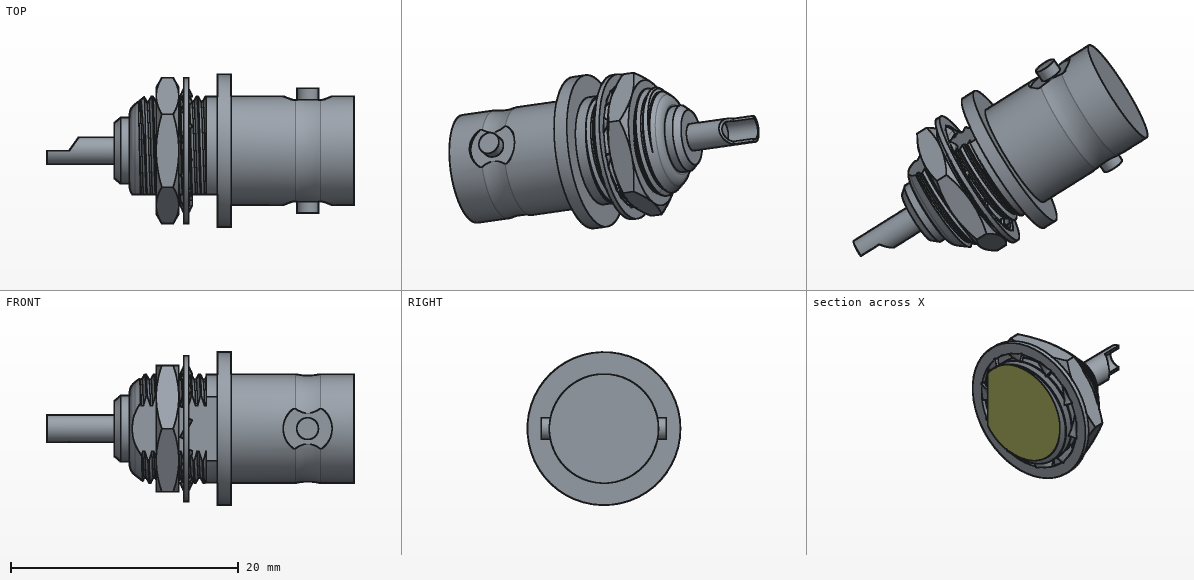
import cadquery as cq
import math


CUP_DIAMETER = 2.4
CUP_BORE_DIAMETER = 1.89
CUP_FLOOR_LENGTH = 1.95
CUP_OPEN_LENGTH = 2.8

COLLAR_START = 5.9
SHANK_START = 7.25
THREAD_END = 14.0
FLANGE_START = 14.98
BARREL_START = 16.2
BODY_END = 27.0

COLLAR_RADIUS = 5.86 / 2
COLLAR_CHAMFER_LENGTH = 0.6
COLLAR_CHAMFER_DEPTH = 0.5
NOSE_FACE_RADIUS = 3.12
NOSE_ARC_LENGTH = 0.45
NOSE_ARC_END_RADIUS = 4.06
NOSE_CONE_LENGTH = 0.95

THREAD_RADIUS = 9.6 / 2
THREAD_PITCH = 25.4 / 32
THREAD_DEPTH = 0.45
THREAD_HALF_ANGLE = math.radians(30)
CREST_FLAT = THREAD_PITCH / 8
GROOVE_OVERLAP = 0.05
GROOVE_STATION = 12.62
GROOVE_TURNS_BEFORE = 6
GROOVE_TURNS_AFTER = 3
SEAM_ANGLE = 37
NECK_RADIUS = 9.55 / 2
FLAT_OFFSET = 3.86

FLANGE_RADIUS = 13.48 / 2
BARREL_RADIUS = 9.6 / 2
BAYONET_STATION = 22.92
GROOVE_WIDTH = 2.18
GROOVE_DEPTH = 0.13
SPOTFACE_DIAMETER = 4.3
SPOTFACE_OFFSET = 4.47
PIN_DIAMETER = 1.91
PIN_TIP_OFFSET = 5.5

NUT_START = 9.6
NUT_WIDTH = 2.0
NUT_CORNER_DIAMETER = 12.84
NUT_ACROSS_FLATS = NUT_CORNER_DIAMETER * math.cos(math.radians(30))
NUT_CHAMFER_ANGLE = math.radians(30)

WASHER_START = 12.02
WASHER_THICKNESS = 0.45
WASHER_RADIUS = 12.84 / 2
RING_INNER_RADIUS = 5.4
TOOTH_COUNT = 10
TOOTH_WIDTH = 1.81
TOOTH_ROOT_THICKNESS = 0.4
TOOTH_THICKNESS = 0.25
TOOTH_TWIST = 28
TOOTH_TIP_RADIUS = 4.34
TOOTH_TWISTED_RADIUS = 4.8
TOOTH_ROOT_OVERLAP = 0.1


def x_cylinder(radius, start, end):
    return cq.Workplane("YZ", origin=(start, 0, 0)).circle(radius).extrude(end - start)


def revolve_about_x(profile):
    return profile.close().revolve(360, (0, 0, 0), (1, 0, 0))


def groove_turn():
    """One right-hand turn of the V groove, swept along a helix and then laid along X."""
    half_angle_tan = math.tan(THREAD_HALF_ANGLE)
    half_mouth = (THREAD_PITCH - CREST_FLAT) / 2
    half_outer = half_mouth + GROOVE_OVERLAP * half_angle_tan
    half_root = half_mouth - THREAD_DEPTH * half_angle_tan
    outer = THREAD_RADIUS + GROOVE_OVERLAP
    root = THREAD_RADIUS - THREAD_DEPTH
    helix = cq.Workplane(cq.Wire.makeHelix(THREAD_PITCH, THREAD_PITCH, THREAD_RADIUS))
    section = [(outer, -half_outer), (outer, half_outer), (root, half_root), (root, -half_root)]
    turn = cq.Workplane("XZ").polyline(section).close().sweep(helix, isFrenet=True)
    return turn.rotate((0, 0, 0), (0, 1, 0), 90)


def cut_thread(shank):
    """Thread the shank turn by turn, from its nose to its far end."""
    turn = groove_turn()
    for index in range(-GROOVE_TURNS_BEFORE, GROOVE_TURNS_AFTER):
        shank = shank.cut(turn.translate((GROOVE_STATION + index * THREAD_PITCH, 0, 0)))
    return shank


def flat_cutter():
    """Block that removes everything beyond the flat, from the nose to the flange."""
    length = FLANGE_START - SHANK_START
    block = cq.Workplane("XY").box(length, FLANGE_RADIUS, 2 * FLANGE_RADIUS, centered=(False, False, True))
    return block.translate((SHANK_START, -FLAT_OFFSET - FLANGE_RADIUS, 0))


def make_shank():
    """Round-nosed shank, before it is threaded and before its flat is cut."""
    arc_end = SHANK_START + NOSE_ARC_LENGTH
    profile = (
        cq.Workplane("XY")
        .moveTo(SHANK_START, 0)
        .lineTo(SHANK_START, NOSE_FACE_RADIUS)
        .tangentArcPoint((arc_end, NOSE_ARC_END_RADIUS), relative=False)
        .lineTo(arc_end + NOSE_CONE_LENGTH, THREAD_RADIUS)
        .lineTo(THREAD_END, THREAD_RADIUS)
        .lineTo(THREAD_END, 0)
    )
    return revolve_about_x(profile).rotate((0, 0, 0), (1, 0, 0), SEAM_ANGLE)


def make_collar_and_cup():
    chamfer_end = COLLAR_START + COLLAR_CHAMFER_LENGTH
    profile = (
        cq.Workplane("XY")
        .moveTo(COLLAR_START, 0)
        .lineTo(COLLAR_START, COLLAR_RADIUS - COLLAR_CHAMFER_DEPTH)
        .lineTo(chamfer_end, COLLAR_RADIUS)
        .lineTo(SHANK_START, COLLAR_RADIUS)
        .lineTo(SHANK_START, 0)
    )
    cup_radius = CUP_DIAMETER / 2
    cup = x_cylinder(cup_radius, 0, COLLAR_START)
    bore = x_cylinder(CUP_BORE_DIAMETER / 2, 0, CUP_OPEN_LENGTH)
    side_opening = (
        cq.Workplane("XY")
        .moveTo(0, 0)
        .lineTo(CUP_FLOOR_LENGTH, 0)
        .lineTo(CUP_OPEN_LENGTH, cup_radius)
        .lineTo(0, cup_radius)
        .close()
        .extrude(cup_radius, both=True)
    )
    return revolve_about_x(profile).union(cup.cut(bore).cut(side_opening))


def make_flange_and_barrel():
    """Neck, flange and barrel, with the shallow ring groove at the bayonet pins."""
    profile = (
        cq.Workplane("XY")
        .moveTo(THREAD_END, 0)
        .lineTo(THREAD_END, NECK_RADIUS)
        .lineTo(FLANGE_START, NECK_RADIUS)
        .lineTo(FLANGE_START, FLANGE_RADIUS)
        .lineTo(BARREL_START, FLANGE_RADIUS)
        .lineTo(BARREL_START, BARREL_RADIUS)
        .lineTo(BAYONET_STATION - GROOVE_WIDTH / 2, BARREL_RADIUS)
        .threePointArc(
            (BAYONET_STATION, BARREL_RADIUS - GROOVE_DEPTH),
            (BAYONET_STATION + GROOVE_WIDTH / 2, BARREL_RADIUS),
        )
        .lineTo(BODY_END, BARREL_RADIUS)
        .lineTo(BODY_END, 0)
    )
    barrel = revolve_about_x(profile)
    for side in (-1, 1):
        seat = cq.Workplane("XZ", origin=(BAYONET_STATION, side * SPOTFACE_OFFSET, 0))
        spotface = seat.circle(SPOTFACE_DIAMETER / 2).extrude(-side * BARREL_RADIUS)
        barrel = barrel.cut(spotface)
    pins = (
        cq.Workplane("XZ", origin=(BAYONET_STATION, 0, 0))
        .circle(PIN_DIAMETER / 2)
        .extrude(PIN_TIP_OFFSET, both=True)
    )
    return barrel.union(pins)


def make_body(threaded_shank):
    """One-piece connector body; the flat runs from the nose up to the flange."""
    flat = flat_cutter()
    barrel = make_flange_and_barrel().cut(flat)
    return threaded_shank.cut(flat).union(barrel).union(make_collar_and_cup())


def make_nut(threaded_shank):
    """Hexagon nut, its corners chamfered on both faces, threaded to fill the grooves of the shank."""
    hexagon = (
        cq.Workplane("YZ", origin=(NUT_START, 0, 0))
        .polygon(6, NUT_CORNER_DIAMETER)
        .extrude(NUT_WIDTH)
    )
    corner_radius = NUT_CORNER_DIAMETER / 2
    face_radius = NUT_ACROSS_FLATS / 2
    chamfer_length = (corner_radius - face_radius) * math.tan(NUT_CHAMFER_ANGLE)
    nut_end = NUT_START + NUT_WIDTH
    envelope = (
        cq.Workplane("XY")
        .moveTo(NUT_START, 0)
        .lineTo(NUT_START, face_radius)
        .lineTo(NUT_START + chamfer_length, corner_radius)
        .lineTo(nut_end - chamfer_length, corner_radius)
        .lineTo(nut_end, face_radius)
        .lineTo(nut_end, 0)
    )
    return hexagon.intersect(revolve_about_x(envelope)).cut(threaded_shank)


def washer_tooth():
    """Tooth on the -Y side: it twists on its way in, then runs straight to its tip."""
    centre = WASHER_START + WASHER_THICKNESS / 2
    root_radius = RING_INNER_RADIUS + TOOTH_ROOT_OVERLAP
    twist_length = root_radius - TOOTH_TWISTED_RADIUS
    twisted = (
        cq.Workplane("XZ", origin=(centre, -root_radius, 0))
        .rect(TOOTH_ROOT_THICKNESS, TOOTH_WIDTH)
        .workplane(offset=-twist_length)
        .transformed(rotate=(0, 0, -TOOTH_TWIST))
        .rect(TOOTH_THICKNESS, TOOTH_WIDTH)
        .loft(ruled=True)
    )
    straight = (
        cq.Workplane("XZ", origin=(centre, -TOOTH_TWISTED_RADIUS, 0))
        .transformed(rotate=(0, 0, -TOOTH_TWIST))
        .rect(TOOTH_THICKNESS, TOOTH_WIDTH)
        .extrude(TOOTH_TIP_RADIUS - TOOTH_TWISTED_RADIUS)
    )
    return twisted.union(straight)


def make_washer(shank):
    """Flat ring with twisted inner teeth, the teeth trimmed to the crests of the thread and to the flat."""
    washer = (
        cq.Workplane("YZ", origin=(WASHER_START, 0, 0))
        .circle(WASHER_RADIUS)
        .circle(RING_INNER_RADIUS)
        .extrude(WASHER_THICKNESS)
    )
    tooth = washer_tooth()
    for index in range(TOOTH_COUNT):
        angle = index * 360 / TOOTH_COUNT
        washer = washer.union(tooth.rotate((0, 0, 0), (1, 0, 0), angle))
    return washer.cut(shank.cut(flat_cutter()))


shank = make_shank()
threaded_shank = cut_thread(shank)
body = make_body(threaded_shank)
nut = make_nut(threaded_shank)
washer = make_washer(shank)
result = cq.Compound.makeCompound([part.solids().val() for part in (body, nut, washer)])